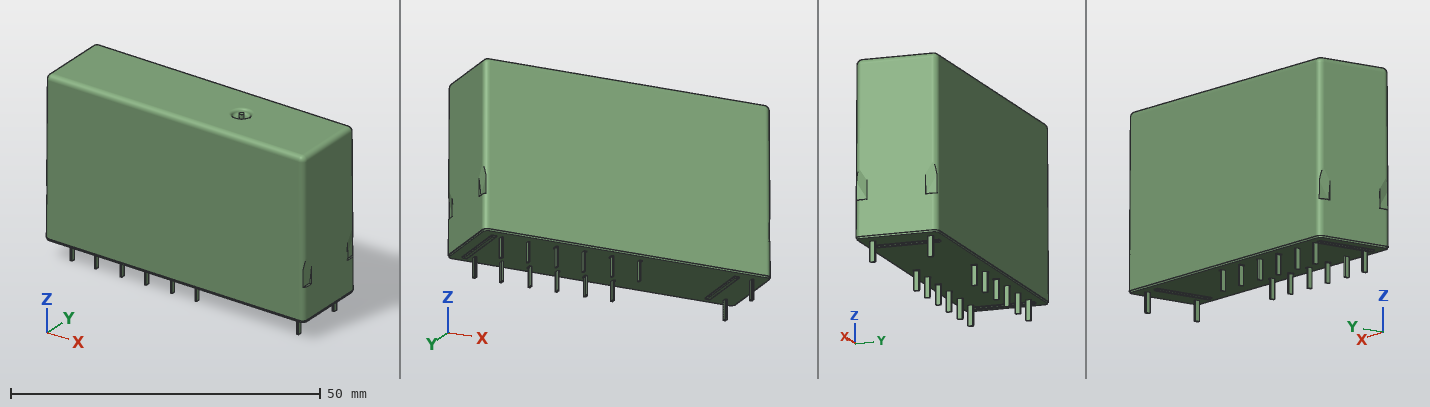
import cadquery as cq
import math


length = 51.55
width = 14.45
cover_height = 29.75
draft_angle = 0.25
edge_radius = 1.0

base_inset = 0.15
base_height = 0.3
strip_length = 11.05
strip_width = 0.95
strip_height = 0.3
strip_chamfer = 0.15
strip_positions = (-23.25, 20.25)

overall_height = 33.5
pin_row_offset = 5.0
pin_width = 1.05
pin_edge_chamfer = 0.13
pin_tip_chamfer = 0.15
end_pin_thickness = 0.4
pin_thickness = 0.3
end_pin_positions = (-21.7, 23.15)
lone_pin_x = -16.9
pair_starts = (-11.8, -1.85)
pair_spacing = 4.85
root_thickness = 0.15
root_drop = 0.15

pocket_inner_y = 5.05
pocket_floor_z = 6.15
pocket_knee_z = 9.3
pocket_depth = 0.35
pocket_slope = 58.0

recess_x = 8.3
rim_radius = 2.05
floor_radius = 1.0
recess_depth = 0.8
post_radius = 0.4

base_bottom = -base_height
pin_tip_z = cover_height - overall_height
pin_rows = (-pin_row_offset, pin_row_offset)


def make_cover():
    block = cq.Workplane("XY").rect(length, width).extrude(cover_height, taper=draft_angle)
    return block.edges("not <Z").fillet(edge_radius)


def make_base():
    plate = cq.Workplane("XY").rect(length - 2 * base_inset, width - 2 * base_inset)
    return plate.extrude(base_bottom).edges("|Z").fillet(edge_radius - base_inset)


def make_strip(x):
    strip = cq.Workplane("XY", origin=(x, 0, base_bottom))
    strip = strip.rect(strip_width, strip_length).extrude(-strip_height)
    return strip.faces("<Z").edges().chamfer(strip_chamfer)


def make_pin(x, y, thickness):
    pin = cq.Workplane("XY", origin=(x, y, 0)).rect(thickness, pin_width).extrude(pin_tip_z)
    pin = pin.edges("|Z").chamfer(pin_edge_chamfer)
    half = pin_width / 2
    bevel = (
        cq.Workplane("YZ", origin=(x - thickness / 2, y, 0))
        .moveTo(half, pin_tip_z)
        .lineTo(half, pin_tip_z + pin_tip_chamfer)
        .lineTo(half - pin_tip_chamfer, pin_tip_z)
        .close()
        .extrude(thickness)
    )
    return pin.cut(bevel).cut(bevel.mirror("XZ", (x, y, 0)))


def make_root(x, y, side):
    """Short shoulder at the top of a pin, on its -X or +X side."""
    center_x = x + side * (pin_thickness + root_thickness) / 2
    root = cq.Workplane("XY", origin=(center_x, y, 0)).rect(root_thickness, pin_width)
    return root.extrude(base_bottom - root_drop)


def make_pocket():
    """Ramped pocket for the (-X, +Y) upright edge, running out along a sloping line."""
    slope = math.radians(pocket_slope)
    ramp_length = (pocket_knee_z - pocket_floor_z) * math.cos(slope)
    end_x = -length / 2
    face_x = end_x + pocket_knee_z * math.tan(math.radians(draft_angle))
    reach = width
    plane = cq.Plane(
        origin=(face_x, pocket_inner_y, pocket_knee_z),
        xDir=(1, 0, 0),
        normal=(0, math.cos(slope), math.sin(slope)),
    )
    ramp = (
        cq.Workplane(plane)
        .lineTo(pocket_depth, ramp_length)
        .lineTo(pocket_depth, reach)
        .lineTo(-pocket_depth, reach)
        .lineTo(-pocket_depth, 0)
        .close()
        .extrude(reach, both=True)
    )
    limits = cq.Workplane("XY").box(length, width, cover_height, centered=False)
    return ramp.intersect(limits.translate((end_x, pocket_inner_y, pocket_floor_z)))


def make_recess():
    middle_radius = (rim_radius + floor_radius) / 2
    profile = (
        cq.Workplane("XZ", origin=(recess_x, 0, cover_height))
        .moveTo(post_radius, 0)
        .lineTo(post_radius, -recess_depth)
        .lineTo(floor_radius, -recess_depth)
        .tangentArcPoint((middle_radius, -recess_depth / 2), relative=False)
        .tangentArcPoint((rim_radius, 0), relative=False)
        .close()
    )
    return profile.revolve(360, (0, 0, 0), (0, 1, 0))


result = make_cover().union(make_base())

for strip_x in strip_positions:
    result = result.union(make_strip(strip_x))

for row_y in pin_rows:
    for pin_x in end_pin_positions:
        result = result.union(make_pin(pin_x, row_y, end_pin_thickness))
    result = result.union(make_pin(lone_pin_x, row_y, pin_thickness))
    for start_x in pair_starts:
        for pin_x, side in ((start_x, -1), (start_x + pair_spacing, 1)):
            result = result.union(make_pin(pin_x, row_y, pin_thickness))
            result = result.union(make_root(pin_x, row_y, side))

pocket = make_pocket()
for grip in (pocket, pocket.mirror("XZ")):
    result = result.cut(grip).cut(grip.mirror("YZ"))

result = result.cut(make_recess())